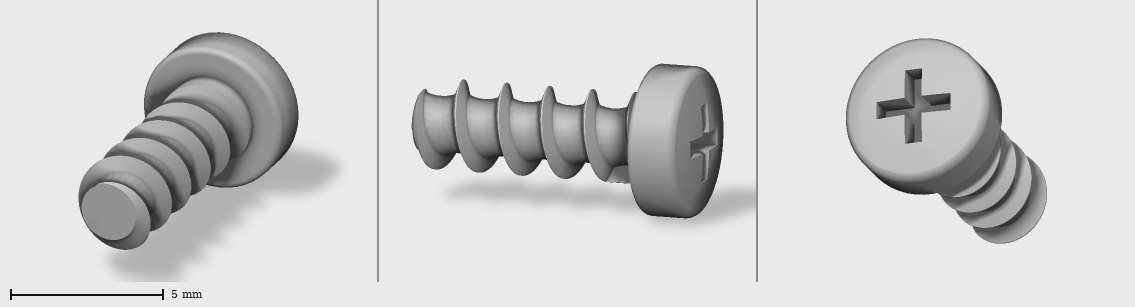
import cadquery as cq
import math


total_length = 9.88
shank_length = 8.0
shank_radius = 1.5
tip_chamfer = 0.42

head_radius = 2.5
head_underside_fillet = 0.2
head_crown_fillet = 0.3
head_side_height = 1.34
crown_edge_height = head_side_height + head_crown_fillet
crown_edge_radius = 2.29
head_height = total_length - shank_length

arm_width = 0.59
arm_reach = 1.28
recess_depth = 0.99

thread_pitch = 1.5
full_turns = 5
groove_lead_in = 0.2
groove_start = 1.01
crest_land = 0.04
flank_foot_radius = 1.02
flank_foot_half_width = 0.5
root_radius = 0.92
root_half_width = 0.02
flank_overrun = 0.01
cut_clearance = 0.15


def make_head():
    """Round head with filleted edges and a shallow domed crown."""
    corner_radius = arm_width / math.sqrt(2)
    rise = head_height - crown_edge_height
    dome_drop = rise * crown_edge_radius**2 / (crown_edge_radius**2 - corner_radius**2)
    dome_radius = (crown_edge_radius**2 + dome_drop**2) / (2 * dome_drop)
    apex = crown_edge_height + dome_drop
    middle_radius = crown_edge_radius / 2
    middle_height = apex - dome_radius + math.sqrt(dome_radius**2 - middle_radius**2)
    profile = (
        cq.Workplane("XZ")
        .lineTo(head_radius - head_underside_fillet, 0)
        .tangentArcPoint((head_radius, -head_underside_fillet), relative=False)
        .lineTo(head_radius, -head_side_height)
        .tangentArcPoint((crown_edge_radius, -crown_edge_height), relative=False)
        .threePointArc((middle_radius, -middle_height), (0, -apex))
        .close()
    )
    return profile.revolve(360, (0, 0, 0), (0, 1, 0))


def make_recess():
    """Cross recess in the crown, with two equal crossing arms."""
    floor = cq.Workplane("XY").workplane(offset=recess_depth - head_height)
    cut_height = -(recess_depth + cut_clearance)
    arm_length = 2 * arm_reach
    arm_along_x = floor.rect(arm_length, arm_width).extrude(cut_height)
    arm_along_y = floor.rect(arm_width, arm_length).extrude(cut_height)
    return arm_along_x.union(arm_along_y)


def make_shank():
    """Cylinder at thread crest size with a chamfered tip."""
    cylinder = cq.Workplane("XY").circle(shank_radius).extrude(shank_length)
    return cylinder.faces(">Z").chamfer(tip_chamfer).rotate((0, 0, 0), (0, 0, 1), 90)


def root_point(side, share):
    """Point on a root arc: share 0 at the flat bottom, 1 at the flank foot.

    The arc leaves the bottom parallel to the screw axis.
    """
    span = flank_foot_half_width - root_half_width
    depth = flank_foot_radius - root_radius
    arc_radius = (span**2 + depth**2) / (2 * depth)
    along = share * span
    rise = arc_radius - math.sqrt(arc_radius**2 - along**2)
    return (root_radius + rise, groove_start + side * (root_half_width + along))


def make_thread_groove():
    """Right-handed groove whose sloping flanks meet a hollow root."""
    mouth_half_width = (thread_pitch - crest_land) / 2
    mouth_radius = shank_radius + flank_overrun
    outside_radius = shank_radius + cut_clearance
    profile = (
        cq.Workplane("XZ")
        .moveTo(outside_radius, groove_start - mouth_half_width)
        .lineTo(mouth_radius, groove_start - mouth_half_width)
        .lineTo(flank_foot_radius, groove_start - flank_foot_half_width)
        .threePointArc(root_point(-1, 0.5), root_point(-1, 0))
        .lineTo(root_radius, groove_start + root_half_width)
        .threePointArc(root_point(1, 0.5), root_point(1, 1))
        .lineTo(mouth_radius, groove_start + mouth_half_width)
        .lineTo(outside_radius, groove_start + mouth_half_width)
        .close()
    )
    turns = full_turns + groove_lead_in
    helix = cq.Wire.makeHelix(thread_pitch, turns * thread_pitch, shank_radius)
    path = cq.Workplane(helix.translate(cq.Vector(0, 0, groove_start)))
    groove = profile.sweep(path, isFrenet=True)
    lead_in_angle = -360 * groove_lead_in
    lead_in_offset = -thread_pitch * groove_lead_in
    return groove.rotate((0, 0, 0), (0, 0, 1), lead_in_angle).translate((0, 0, lead_in_offset))


head = make_head().cut(make_recess())
shank = make_shank().cut(make_thread_groove())
screw = head.union(shank)

result = screw.rotate((0, 0, 0), (1, 0, 0), 90)